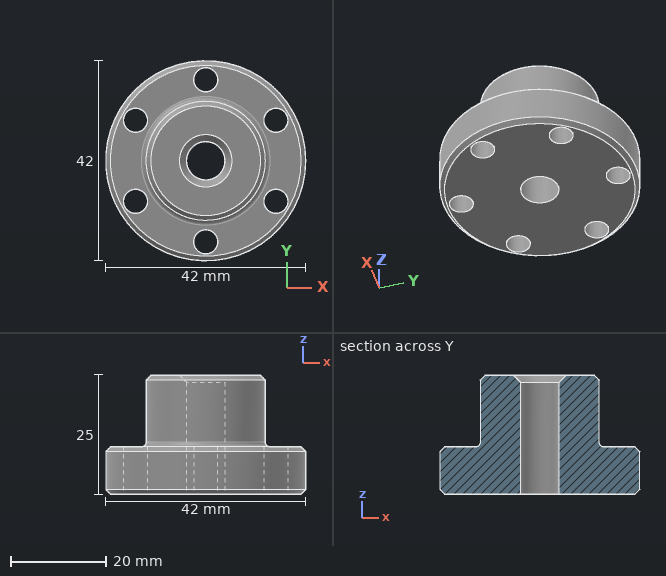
import cadquery as cq

flange_diameter = 42.0
flange_thickness = 10.0

boss_diameter = 25.0
total_height = 25.0

edge_chamfer = 1.0
root_fillet = 1.0

bore_diameter = 8.0
countersink_diameter = 11.0
countersink_depth = (countersink_diameter - bore_diameter) / 2

hole_count = 6
hole_diameter = 5.0
hole_circle_diameter = 34.0
first_hole_angle = 90.0
full_turn = 360.0

smallest_circle = cq.selectors.RadiusNthSelector(0)


def make_flange():
    """Disc resting on Z = 0, chamfered on both rims."""
    disc = cq.Workplane("XY").circle(flange_diameter / 2).extrude(flange_thickness)
    return disc.faces("<Z or >Z").edges().chamfer(edge_chamfer)


def make_boss():
    """Full-height cylinder, chamfered at its top rim."""
    cylinder = cq.Workplane("XY").circle(boss_diameter / 2).extrude(total_height)
    return cylinder.faces(">Z").edges().chamfer(edge_chamfer)


def fillet_boss_root(body):
    """Round the inside corner where the boss meets the flange."""
    flange_top = body.faces("|Z").faces(">Z[-2]")
    return flange_top.edges(smallest_circle).fillet(root_fillet)


def cut_bore(body):
    """Cut the through bore and countersink its upper rim."""
    bored = body.faces(">Z").workplane().circle(bore_diameter / 2).cutThruAll()
    bore_rim = bored.faces(">Z").edges(smallest_circle)
    return bore_rim.chamfer(countersink_depth)


def cut_mounting_holes(body):
    """Cut the ring of through holes in the flange."""
    holes = (
        cq.Workplane("XY")
        .polarArray(hole_circle_diameter / 2, first_hole_angle, full_turn, hole_count)
        .circle(hole_diameter / 2)
        .extrude(flange_thickness)
    )
    return body.cut(holes)


result = make_flange().union(make_boss())
result = fillet_boss_root(result)
result = cut_bore(result)
result = cut_mounting_holes(result)